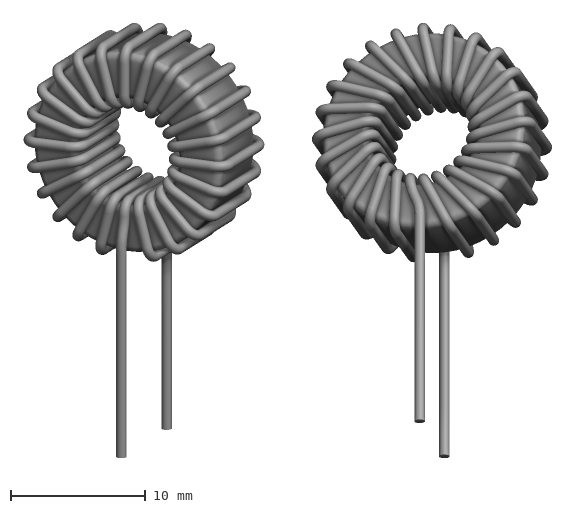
import cadquery as cq
import math


CORE_OUTER_DIAMETER = 15.4
CORE_INNER_DIAMETER = 8.32
CORE_WIDTH = 6.2
CORE_EDGE_RADIUS = 0.5

WIRE_DIAMETER = 0.8
TURN_POSITIONS = 24
TURN_PITCH = 360 / TURN_POSITIONS
LEAD_ANGLE = 270
LEAD_SPACING = 8.0
OVERALL_HEIGHT = 31.75

WIRE_RADIUS = WIRE_DIAMETER / 2
WIRE_CLEARANCE = 0.005
WIRE_OFFSET = WIRE_RADIUS + WIRE_CLEARANCE
BEND_RADIUS = CORE_EDGE_RADIUS + WIRE_OFFSET
OUTER_WIRE_RADIUS = CORE_OUTER_DIAMETER / 2 + WIRE_OFFSET
INNER_WIRE_RADIUS = CORE_INNER_DIAMETER / 2 - WIRE_OFFSET
BACK_Y = CORE_WIDTH / 2 + WIRE_OFFSET
FRONT_Y = -BACK_Y
LEAD_START_Z = CORE_EDGE_RADIUS - CORE_OUTER_DIAMETER / 2
LEAD_END_Z = OUTER_WIRE_RADIUS + WIRE_RADIUS - OVERALL_HEIGHT
DOWN = cq.Vector(0, 0, -1)


def ring_point(radius, angle, y):
    """Point at a radius and an angle in degrees around the Y axis."""
    turn = math.radians(angle)
    return cq.Vector(radius * math.cos(turn), y, radius * math.sin(turn))


def make_core():
    ring = (
        cq.Workplane("XZ", origin=(0, CORE_WIDTH / 2, 0))
        .circle(CORE_OUTER_DIAMETER / 2)
        .circle(CORE_INNER_DIAMETER / 2)
        .extrude(CORE_WIDTH)
    )
    return ring.edges("%CIRCLE").fillet(CORE_EDGE_RADIUS)


def winding_corners():
    """Sharp corners of the wire path, from the front lead to the back lead.

    Every turn passes back through the hole, slants to the previous position
    on the back, comes forward outside and runs radially inwards on the front.
    """
    corners = []
    for turn in range(TURN_POSITIONS):
        angle = LEAD_ANGLE - turn * TURN_PITCH
        if turn > 0:
            corners.append(ring_point(OUTER_WIRE_RADIUS, angle, BACK_Y))
            corners.append(ring_point(OUTER_WIRE_RADIUS, angle, FRONT_Y))
        corners.append(ring_point(INNER_WIRE_RADIUS, angle, FRONT_Y))
        corners.append(ring_point(INNER_WIRE_RADIUS, angle, BACK_Y))
    return corners


def lead_edges(start, start_direction, lead_y):
    """Curve from the winding out to the lead, and the straight lead below it."""
    lead_top = cq.Vector(0, lead_y, LEAD_START_Z)
    lead_end = cq.Vector(0, lead_y, LEAD_END_Z)
    curve = cq.Edge.makeSpline([start, lead_top], tangents=[start_direction, DOWN])
    return [curve, cq.Edge.makeLine(lead_top, lead_end)]


def bend(before, corner, after):
    """Arc that rounds a right-angled corner between two neighbouring points."""
    backward = (before - corner).normalized()
    forward = (after - corner).normalized()
    centre = corner + (backward + forward) * BEND_RADIUS
    middle = centre - (backward + forward).normalized() * BEND_RADIUS
    return cq.Edge.makeThreePointArc(
        corner + backward * BEND_RADIUS, middle, corner + forward * BEND_RADIUS
    )


def make_winding():
    corners = winding_corners()
    front_aim = ring_point(OUTER_WIRE_RADIUS, LEAD_ANGLE, FRONT_Y)
    back_aim = ring_point(OUTER_WIRE_RADIUS, LEAD_ANGLE, BACK_Y)
    points = [front_aim, *corners, back_aim]

    bends = [bend(*points[i - 1:i + 2]) for i in range(1, len(points) - 1)]
    straights = [
        cq.Edge.makeLine(first.endPoint(), second.startPoint())
        for first, second in zip(bends, bends[1:])
    ]
    front_lead = lead_edges(bends[0].startPoint(), DOWN, -LEAD_SPACING / 2)
    back_lead = lead_edges(bends[-1].endPoint(), back_aim - corners[-1], LEAD_SPACING / 2)

    path = cq.Wire.assembleEdges(
        [*reversed(front_lead), *bends, *straights, *back_lead]
    )
    lead_end = cq.Workplane("XY", origin=(0, -LEAD_SPACING / 2, LEAD_END_Z))
    return lead_end.circle(WIRE_RADIUS).sweep(cq.Workplane(path))


core = make_core()
winding = make_winding()

result = cq.Compound.makeCompound([core.val(), winding.val()])